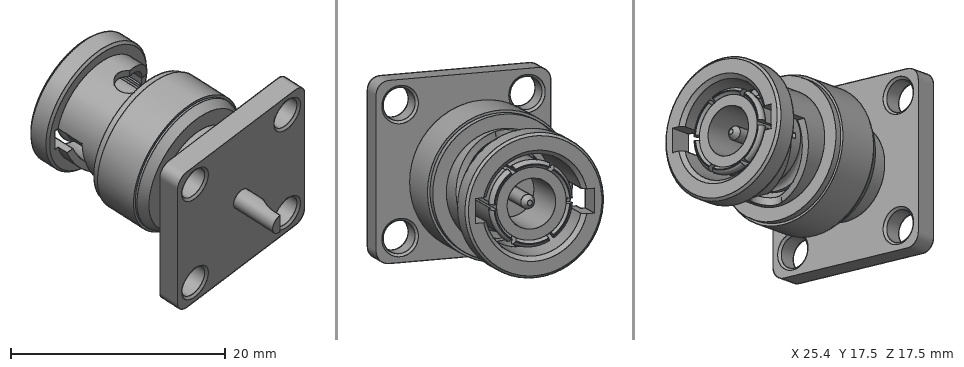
import cadquery as cq
import math


RING_END = 2.39
COLLAR_START = 8.25
GRIP_START = 8.96
GRIP_END = 13.5
TAPER_START = 13.72
TAPER_END = 14.72
FLANGE_START = 18.2
FLANGE_END = 20.46
TOTAL_LENGTH = 25.4

RING_RADIUS = 6.93
RING_CHAMFER = 0.25
SLEEVE_RADIUS = 5.64
COLLAR_RADIUS = 7.0
GRIP_RADIUS = 7.25
TAPER_END_RADIUS = 6.45
NECK_RADIUS = 4.72

CAVITY_RADIUS = 4.89
MOUTH_CHAMFER = 0.41
CAVITY_FLOOR = 8.5

BARREL_TIP = 0.7
BARREL_RADIUS = 3.83
LIP_RADIUS = 4.16
LIP_LENGTH = 1.0
TIP_OUTER_RADIUS = 3.84
TIP_INNER_RADIUS = 3.74
INSULATOR_RADIUS = 3.48
INSULATOR_FACE = 0.96
ROOT_GROOVE_START = 6.92
ROOT_GROOVE_END = 8.1
ROOT_GROOVE_RADIUS = 3.65
ROOT_RADIUS = LIP_RADIUS
SLIT_COUNT = 6
SLIT_WIDTH = 0.53
SLIT_END = 6.16

BORE_RADIUS = 2.43
BORE_FLOOR = 6.5
PIN_RADIUS = 0.69
PIN_TIP = 1.35
PIN_TIP_RADIUS = 0.25
PIN_NOSE_LENGTH = 0.55
PIN_NOSE_ARC_RADIUS = 1.6

SLOT_WIDTH = 2.38
SLOT_DEPTH_RADIUS = 5.95
RAMP_AXIAL_WIDTH = 2.5
RAMP_START_X = 4.46
RAMP_PITCH = 8.82
RAMP_END_ANGLE = 80.0
RAMP_LEAD_IN_ANGLE = 16.0
RAMP_LEAD_IN_X = RAMP_START_X - RAMP_PITCH * RAMP_LEAD_IN_ANGLE / 360
DETENT_RADIUS = 1.58
DETENT_X = 6.18
DETENT_OFFSET = 0.37
CUT_MARGIN = 0.5

FLANGE_SIDE = 17.5
FLANGE_CORNER_RADIUS = 1.3
HOLE_SPACING = 12.7
HOLE_RADIUS = 1.59
HOLE_CHAMFER = 0.24

TAIL_RADIUS = 1.05
TAIL_SCOOP_START = 22.28
TAIL_SCOOP_RADIUS = 3.2


def turned(profile):
    """Revolve a closed (x, radius) profile about the X axis."""
    return profile.close().revolve(360, (0, 0, 0), (1, 0, 0))


def rod(start, end, radius):
    """Cylinder on the X axis between two stations."""
    return cq.Workplane("YZ").workplane(offset=start).circle(radius).extrude(end - start)


def shell_body():
    outline = [
        (0, 0),
        (0, RING_RADIUS - RING_CHAMFER),
        (RING_CHAMFER, RING_RADIUS),
        (RING_END - RING_CHAMFER, RING_RADIUS),
        (RING_END, RING_RADIUS - RING_CHAMFER),
        (RING_END, SLEEVE_RADIUS),
        (COLLAR_START, SLEEVE_RADIUS),
        (COLLAR_START, COLLAR_RADIUS),
        (GRIP_START, COLLAR_RADIUS),
        (GRIP_START, GRIP_RADIUS),
        (GRIP_END, GRIP_RADIUS),
        (GRIP_END, COLLAR_RADIUS),
        (TAPER_START, COLLAR_RADIUS),
        (TAPER_END, TAPER_END_RADIUS),
        (TAPER_END, NECK_RADIUS),
        (FLANGE_START, NECK_RADIUS),
        (FLANGE_START, 0),
    ]
    cavity = [
        (0, 0),
        (0, CAVITY_RADIUS + MOUTH_CHAMFER),
        (MOUTH_CHAMFER, CAVITY_RADIUS),
        (CAVITY_FLOOR, CAVITY_RADIUS),
        (CAVITY_FLOOR, 0),
    ]
    body = turned(cq.Workplane("XY").polyline(outline))
    return body.cut(turned(cq.Workplane("XY").polyline(cavity)))


def bayonet_ramp():
    """Helical cutter that climbs from +Y towards +Z while moving along +X."""
    inner_radius = (CAVITY_RADIUS + BARREL_RADIUS) / 2
    outer_radius = SLEEVE_RADIUS + CUT_MARGIN
    middle_radius = (inner_radius + outer_radius) / 2
    swept_angle = RAMP_END_ANGLE + RAMP_LEAD_IN_ANGLE
    path = cq.Wire.makeHelix(RAMP_PITCH, RAMP_PITCH * swept_angle / 360, middle_radius)
    ramp = (
        cq.Workplane("XZ")
        .center(middle_radius, 0)
        .rect(outer_radius - inner_radius, RAMP_AXIAL_WIDTH)
        .sweep(cq.Workplane(path), isFrenet=True)
        .rotate((0, 0, 0), (0, 0, 1), -RAMP_LEAD_IN_ANGLE)
        .translate((0, 0, RAMP_LEAD_IN_X))
    )
    ramp = ramp.rotate((0, 0, 0), (1, 1, 1), 120)
    above_entry = cq.Workplane("XY").box(
        TOTAL_LENGTH, 2 * GRIP_RADIUS, GRIP_RADIUS, centered=(True, True, False)
    ).translate((0, 0, -SLOT_WIDTH / 2))
    return ramp.intersect(above_entry)


def bayonet_slot():
    """Cutter for the slot that enters on the +Y side and locks on top."""
    entry = cq.Workplane("XY").box(
        RAMP_LEAD_IN_X, SLOT_DEPTH_RADIUS - LIP_RADIUS, SLOT_WIDTH, centered=(False, False, True)
    ).translate((0, LIP_RADIUS, 0))
    detent = (
        cq.Workplane("XY")
        .workplane(offset=LIP_RADIUS)
        .center(DETENT_X, DETENT_OFFSET)
        .circle(DETENT_RADIUS)
        .extrude(SLEEVE_RADIUS - LIP_RADIUS + CUT_MARGIN)
    )
    return entry.union(bayonet_ramp()).union(detent)


def contact_barrel():
    barrel = turned(
        cq.Workplane("XY")
        .moveTo(INSULATOR_FACE, 0)
        .lineTo(INSULATOR_FACE, INSULATOR_RADIUS)
        .lineTo(BARREL_TIP, TIP_INNER_RADIUS)
        .lineTo(BARREL_TIP, TIP_OUTER_RADIUS)
        .threePointArc(
            (BARREL_TIP + LIP_LENGTH / 2, LIP_RADIUS),
            (BARREL_TIP + LIP_LENGTH, BARREL_RADIUS),
        )
        .lineTo(ROOT_GROOVE_START, BARREL_RADIUS)
        .threePointArc(
            ((ROOT_GROOVE_START + ROOT_GROOVE_END) / 2, ROOT_GROOVE_RADIUS),
            (ROOT_GROOVE_END, ROOT_RADIUS),
        )
        .lineTo(CAVITY_FLOOR, ROOT_RADIUS)
        .lineTo(CAVITY_FLOOR, 0)
    )
    slit_length = SLIT_END - BARREL_TIP
    for index in range(SLIT_COUNT):
        slit = (
            cq.Workplane("XY")
            .box(slit_length, LIP_RADIUS, SLIT_WIDTH, centered=(False, False, True))
            .translate((BARREL_TIP, INSULATOR_RADIUS, 0))
            .rotate((0, 0, 0), (1, 0, 0), index * 360 / SLIT_COUNT)
        )
        barrel = barrel.cut(slit)
    return barrel.cut(rod(BARREL_TIP, BORE_FLOOR, BORE_RADIUS))


def centre_pin():
    nose_end = PIN_TIP + PIN_NOSE_LENGTH
    return turned(
        cq.Workplane("XY")
        .moveTo(PIN_TIP, 0)
        .lineTo(PIN_TIP, PIN_TIP_RADIUS)
        .radiusArc((nose_end, PIN_RADIUS), PIN_NOSE_ARC_RADIUS)
        .lineTo(BORE_FLOOR, PIN_RADIUS)
        .lineTo(BORE_FLOOR, 0)
    )


def mounting_flange():
    plate = (
        cq.Workplane("YZ")
        .workplane(offset=FLANGE_START)
        .rect(FLANGE_SIDE, FLANGE_SIDE)
        .extrude(FLANGE_END - FLANGE_START)
        .edges("|X")
        .fillet(FLANGE_CORNER_RADIUS)
    )
    mouth_radius = HOLE_RADIUS + HOLE_CHAMFER
    hole = turned(
        cq.Workplane("XY").polyline([
            (FLANGE_START, 0),
            (FLANGE_START, mouth_radius),
            (FLANGE_START + HOLE_CHAMFER, HOLE_RADIUS),
            (FLANGE_END - HOLE_CHAMFER, HOLE_RADIUS),
            (FLANGE_END, mouth_radius),
            (FLANGE_END, 0),
        ])
    )
    for y_side in (-1, 1):
        for z_side in (-1, 1):
            centre = (0, y_side * HOLE_SPACING / 2, z_side * HOLE_SPACING / 2)
            plate = plate.cut(hole.translate(centre))
    return plate


def solder_tail():
    """Round tail whose +Y half is scooped away down to the axis."""
    rise = TAIL_SCOOP_RADIUS - TAIL_RADIUS
    scoop_end = TAIL_SCOOP_START + math.sqrt(TAIL_SCOOP_RADIUS**2 - rise**2)
    scoop = (
        cq.Workplane("XY")
        .moveTo(TAIL_SCOOP_START, TAIL_RADIUS)
        .radiusArc((scoop_end, 0), -TAIL_SCOOP_RADIUS)
        .lineTo(TOTAL_LENGTH, 0)
        .lineTo(TOTAL_LENGTH, TAIL_RADIUS)
        .close()
        .extrude(TAIL_RADIUS, both=True)
    )
    return rod(FLANGE_END, TOTAL_LENGTH, TAIL_RADIUS).cut(scoop)


shell = shell_body()
for slot_angle in (0, 180):
    shell = shell.cut(bayonet_slot().rotate((0, 0, 0), (1, 0, 0), slot_angle))

result = (
    shell.union(contact_barrel())
    .union(centre_pin())
    .union(mounting_flange())
    .union(solder_tail())
)